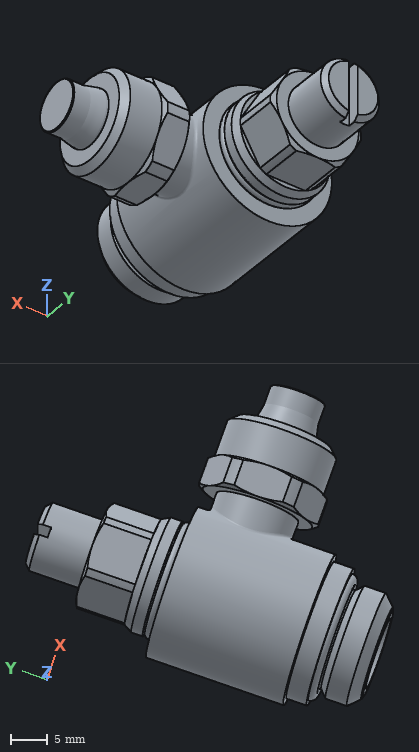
import cadquery as cq
import math

total_length = 50.0

spigot_radius = 6.25
spigot_root_radius = 6.4
spigot_height = 0.15
thread_radius = 8.25
thread_end_radius = 6.7
thread_chamfer_end = 1.7
thread_end = 4.8
relief_start = 5.8
relief_radius = 7.25

seal_tube_radius = 0.95
seal_center_radius = 8.3
flange_start = 6.95
flange_radius = 10.0
flange_end = 9.9

sleeve_start = 10.0
sleeve_end = 30.05
sleeve_radius = 11.0
seat_radius = 8.2
ring_radius = 8.5
ring_end = 31.2

collar_start = 31.45
collar_radius = 8.4
collar_cone_start = 33.1
collar_end_radius = 7.75

stem_hex_start = 34.3
stem_hex_end = 41.7
stem_hex_flats = 14.0
stem_hex_corner_radius = 7.75
screw_radius = 5.0
screw_chamfer = 0.8
slot_width = 1.5
slot_depth = 2.0

bore_radius = 5.15
bore_depth = 10.0
passage_radius = 3.3

outlet_y = 22.5
neck_radius = 6.0
neck_fillet = 0.45
nut_hex_start = 13.75
nut_hex_end = 18.35
nut_hex_flats = 16.0
nut_hex_corner_radius = 8.75
nut_radius = 8.0
nut_end = 24.85
nut_chamfer = 1.1
tube_shoulder_radius = 4.5
tube_cone_start = 25.25
tube_cone_end = 27.6
tube_radius = 4.0
tube_end = 30.5
tube_chamfer = 0.15

hex_sides = 6
hex_chamfer_angle = 30.0


def y_cylinder(radius, start, end):
    """Cylinder around the stem axis from y = start to y = end."""
    return cq.Workplane("XZ", origin=(0, start, 0)).circle(radius).extrude(start - end)


def chamfered_hexagon(flats, corner_radius, length, chamfer_start):
    """Hexagon along +Z with flats facing +-Y, its corners turned down and its ends coned."""
    flat_radius = flats / 2
    cone_height = (corner_radius - flat_radius) * math.tan(math.radians(hex_chamfer_angle))
    hexagon = cq.Workplane("XY").polygon(hex_sides, flats / math.cos(math.pi / hex_sides)).extrude(length)
    envelope = cq.Workplane("XZ").moveTo(0, 0)
    if chamfer_start:
        envelope = envelope.lineTo(flat_radius, 0).lineTo(corner_radius, cone_height)
    else:
        envelope = envelope.lineTo(corner_radius, 0)
    envelope = (
        envelope.lineTo(corner_radius, length - cone_height)
        .lineTo(flat_radius, length)
        .lineTo(0, length)
        .close()
        .revolve(360, (0, 0, 0), (0, 1, 0))
    )
    return hexagon.intersect(envelope)


def turned_stem():
    """Round part of the stem, from the threaded end to the hexagon."""
    ring_middle = (sleeve_end + ring_end) / 2
    return (
        cq.Workplane("XY")
        .moveTo(0, 0)
        .lineTo(spigot_radius, 0)
        .lineTo(spigot_root_radius, spigot_height)
        .lineTo(thread_end_radius, spigot_height)
        .lineTo(thread_radius, thread_chamfer_end)
        .lineTo(thread_radius, thread_end)
        .lineTo(relief_radius, relief_start)
        .lineTo(relief_radius, flange_start)
        .lineTo(flange_radius, flange_start)
        .lineTo(flange_radius, flange_end)
        .lineTo(seat_radius, flange_end)
        .lineTo(seat_radius, sleeve_end)
        .threePointArc((ring_radius, ring_middle), (seat_radius, ring_end))
        .lineTo(seat_radius, collar_start)
        .lineTo(collar_radius, collar_start)
        .lineTo(collar_radius, collar_cone_start)
        .lineTo(collar_end_radius, stem_hex_start)
        .lineTo(0, stem_hex_start)
        .close()
        .revolve(360, (0, 0, 0), (0, 1, 0))
    )


def sealing_ring():
    """Round bead set half into the face of the flange."""
    return (
        cq.Workplane("XY")
        .center(seal_center_radius, flange_start)
        .circle(seal_tube_radius)
        .revolve(360, (-seal_center_radius, 0, 0), (-seal_center_radius, 1, 0))
    )


def stem_hexagon():
    hexagon = chamfered_hexagon(
        stem_hex_flats, stem_hex_corner_radius, stem_hex_end - stem_hex_start, chamfer_start=False
    )
    return hexagon.rotate((0, 0, 0), (1, 0, 0), -90).translate((0, stem_hex_start, 0))


def slotted_screw():
    screw = y_cylinder(screw_radius, stem_hex_end, total_length).faces(">Y").chamfer(screw_chamfer)
    slot = cq.Workplane("XY").box(slot_width, slot_depth, 2 * screw_radius)
    return screw.cut(slot.translate((0, total_length - slot_depth / 2, 0)))


def make_stem():
    stem = turned_stem().union(sealing_ring()).union(stem_hexagon()).union(slotted_screw())
    stem = stem.cut(y_cylinder(bore_radius, 0, bore_depth))
    return stem.cut(y_cylinder(passage_radius, bore_depth, outlet_y))


def sleeve_with_neck():
    """Sleeve and outlet neck, blended where they meet, bored through for the stem."""
    sleeve = y_cylinder(sleeve_radius, sleeve_start, sleeve_end)
    neck = cq.Workplane("YZ", origin=(0, outlet_y, 0)).circle(neck_radius).extrude(nut_hex_start)
    half_box = neck_radius + neck_fillet
    junction = cq.selectors.BoxSelector(
        (0, outlet_y - half_box, -half_box),
        (nut_hex_start - neck_fillet, outlet_y + half_box, half_box),
        boundingbox=True,
    )
    housing = sleeve.union(neck).edges(junction).edges("not %LINE").fillet(neck_fillet)
    return housing.cut(y_cylinder(seat_radius, sleeve_start, sleeve_end))


def nut_hexagon():
    hexagon = chamfered_hexagon(
        nut_hex_flats, nut_hex_corner_radius, nut_hex_end - nut_hex_start, chamfer_start=True
    )
    hexagon = hexagon.rotate((0, 0, 0), (0, 0, 1), 90).rotate((0, 0, 0), (0, 1, 0), 90)
    return hexagon.translate((nut_hex_start, outlet_y, 0))


def nut_and_tube():
    """Round part of the nut and the tube stub that comes out of it."""
    return (
        cq.Workplane("XY", origin=(0, outlet_y, 0))
        .moveTo(nut_hex_end, 0)
        .lineTo(nut_hex_end, nut_radius)
        .lineTo(nut_end - nut_chamfer, nut_radius)
        .lineTo(nut_end, nut_radius - nut_chamfer)
        .lineTo(nut_end, tube_shoulder_radius)
        .lineTo(tube_cone_start, tube_shoulder_radius)
        .lineTo(tube_cone_end, tube_radius)
        .lineTo(tube_end - tube_chamfer, tube_radius)
        .lineTo(tube_end, tube_radius - tube_chamfer)
        .lineTo(tube_end, 0)
        .close()
        .revolve(360, (0, 0, 0), (1, 0, 0))
    )


def make_housing():
    return sleeve_with_neck().union(nut_hexagon()).union(nut_and_tube())


stem = make_stem()
housing = make_housing()
result = cq.Compound.makeCompound([stem.val(), housing.val()])